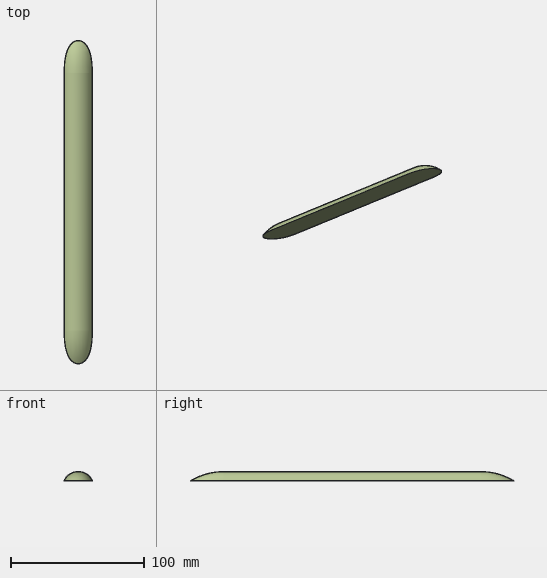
import cadquery as cq
import math

LENGTH = 242.3
WIDTH = 21.3
HEIGHT = 7.0
END_LENGTH = 24.7

section_radius = ((WIDTH / 2) ** 2 + HEIGHT ** 2) / (2 * HEIGHT)
section_center_z = HEIGHT - section_radius
straight_half = LENGTH / 2 - END_LENGTH

crown_radius = (END_LENGTH ** 2 + HEIGHT ** 2) / (2 * HEIGHT)
bend_radius = crown_radius - section_radius
end_angle = math.degrees(math.asin(END_LENGTH / crown_radius))
sweep_angle = 2 * end_angle


def round_bar():
    """Full round bar between the two curved ends."""
    return (
        cq.Workplane("XZ", origin=(0, straight_half, 0))
        .center(0, section_center_z)
        .circle(section_radius)
        .extrude(2 * straight_half)
    )


def curved_end(side):
    """Round bar bent down toward the base at side +1 or -1 along Y."""
    return (
        cq.Workplane("XZ", origin=(0, side * straight_half, 0))
        .center(0, section_center_z)
        .circle(section_radius)
        .revolve(sweep_angle, (0, -bend_radius), (-side, -bend_radius))
    )


def space_above_base():
    """Block that keeps only the material above the flat base."""
    return cq.Workplane("XY").box(WIDTH, LENGTH, HEIGHT, centered=(True, True, False))


bar = round_bar()
for side in (-1, 1):
    bar = bar.union(curved_end(side))

result = bar.intersect(space_above_base())